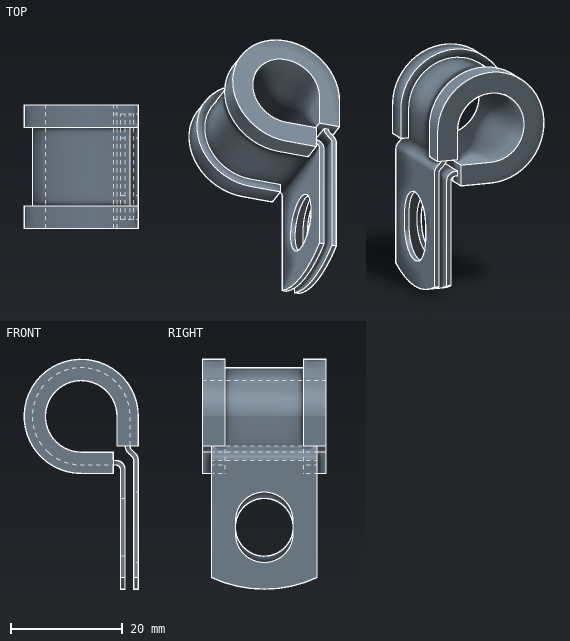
import cadquery as cq
import math

height = 41.15
outer_diameter = 20.45
outer_radius = outer_diameter / 2
bore_radius = 6.38
cushion_width = 22.1
flange_width = 4.07
groove_width = cushion_width - 2 * flange_width
side_arm_end_z = -5.3
bottom_arm_end_x = 5.75

strap_thickness = 0.85
strap_width = 18.93
strap_outer_radius = 8.72
strap_inner_radius = strap_outer_radius - strap_thickness
strap_embed = 0.82

bend_outer_radius = 1.65
bend_inner_radius = bend_outer_radius - strap_thickness
near_leg_outer_x = 7.85
far_leg_outer_x = outer_radius
jog_angle = 45.0
jog_middle_z = -6.6
leg_bottom_z = outer_radius - height
leg_end_rise = 2.1
hole_diameter = 10.3
hole_z = -19.85
slot_length = hole_diameter + 2.3


def polar(center, radius, degrees):
    """Point at a given angle on a circle in the XZ plane."""
    angle = math.radians(degrees)
    return (center[0] + radius * math.cos(angle), center[1] + radius * math.sin(angle))


def extrude_about_middle(profile, width):
    """Extrude an XZ profile symmetrically along Y."""
    return profile.extrude(width / 2, both=True)


def loop(outer, inner, width):
    """Open loop: three quarters of a ring, with one arm down and one arm to the right."""
    origin = (0, 0)
    profile = (
        cq.Workplane("XZ")
        .moveTo(outer, side_arm_end_z)
        .lineTo(outer, 0)
        .threePointArc(polar(origin, outer, 135), (0, -outer))
        .lineTo(bottom_arm_end_x, -outer)
        .lineTo(bottom_arm_end_x, -inner)
        .lineTo(0, -inner)
        .threePointArc(polar(origin, inner, 135), (inner, 0))
        .lineTo(inner, side_arm_end_z)
        .close()
    )
    return extrude_about_middle(profile, width)


def cushion():
    """Cushion whose middle is recessed down to the outer face of the strap."""
    body = loop(outer_radius, bore_radius, cushion_width)
    groove = loop(outer_radius, strap_outer_radius, groove_width)
    return body.cut(groove)


def near_leg():
    """Leg that leaves the bottom arm and turns straight down."""
    start_x = bottom_arm_end_x - strap_embed
    center = (near_leg_outer_x - bend_outer_radius, -strap_inner_radius - bend_outer_radius)
    profile = (
        cq.Workplane("XZ")
        .moveTo(start_x, -strap_inner_radius)
        .lineTo(*polar(center, bend_outer_radius, 90))
        .threePointArc(polar(center, bend_outer_radius, 45), polar(center, bend_outer_radius, 0))
        .lineTo(near_leg_outer_x, leg_bottom_z)
        .lineTo(near_leg_outer_x - strap_thickness, leg_bottom_z)
        .lineTo(*polar(center, bend_inner_radius, 0))
        .threePointArc(polar(center, bend_inner_radius, 45), polar(center, bend_inner_radius, 90))
        .lineTo(start_x, -strap_outer_radius)
        .close()
    )
    return extrude_about_middle(profile, strap_width)


def far_leg():
    """Leg that leaves the side arm, jogs outward and continues down."""
    start_z = side_arm_end_z + strap_embed
    jog_shift = far_leg_outer_x - strap_outer_radius
    bend_mean_radius = (bend_outer_radius + bend_inner_radius) / 2
    setback = bend_mean_radius * math.tan(math.radians(jog_angle / 2))
    half_rise = jog_shift / math.tan(math.radians(jog_angle)) / 2 + setback
    upper = (strap_inner_radius + bend_outer_radius, jog_middle_z + half_rise)
    lower = (far_leg_outer_x - bend_outer_radius, jog_middle_z - half_rise)
    half_angle = jog_angle / 2

    profile = (
        cq.Workplane("XZ")
        .moveTo(strap_inner_radius, start_z)
        .lineTo(*polar(upper, bend_outer_radius, 180))
        .threePointArc(
            polar(upper, bend_outer_radius, 180 + half_angle),
            polar(upper, bend_outer_radius, 180 + jog_angle),
        )
        .lineTo(*polar(lower, bend_inner_radius, jog_angle))
        .threePointArc(polar(lower, bend_inner_radius, half_angle), polar(lower, bend_inner_radius, 0))
        .lineTo(far_leg_outer_x - strap_thickness, leg_bottom_z)
        .lineTo(far_leg_outer_x, leg_bottom_z)
        .lineTo(*polar(lower, bend_outer_radius, 0))
        .threePointArc(polar(lower, bend_outer_radius, half_angle), polar(lower, bend_outer_radius, jog_angle))
        .lineTo(*polar(upper, bend_inner_radius, 180 + jog_angle))
        .threePointArc(
            polar(upper, bend_inner_radius, 180 + half_angle),
            polar(upper, bend_inner_radius, 180),
        )
        .lineTo(strap_outer_radius, start_z)
        .close()
    )
    return extrude_about_middle(profile, strap_width)


def leg_outline():
    """Solid whose YZ outline gives the legs their rounded end."""
    half_width = strap_width / 2
    corner_z = leg_bottom_z + leg_end_rise
    return (
        cq.Workplane("YZ")
        .moveTo(-half_width, 0)
        .lineTo(-half_width, corner_z)
        .threePointArc((0, leg_bottom_z), (half_width, corner_z))
        .lineTo(half_width, 0)
        .close()
        .extrude(outer_radius)
    )


def round_hole():
    """Cutter for the round bolt hole in the near leg."""
    return cq.Workplane("YZ").center(0, hole_z).circle(hole_diameter / 2).extrude(outer_radius)


def slotted_hole():
    """Cutter for the vertical bolt slot in the far leg."""
    return cq.Workplane("YZ").center(0, hole_z).slot2D(slot_length, hole_diameter, 90).extrude(outer_radius)


legs = near_leg().cut(round_hole()).union(far_leg().cut(slotted_hole()))
result = cushion().union(legs.intersect(leg_outline()))